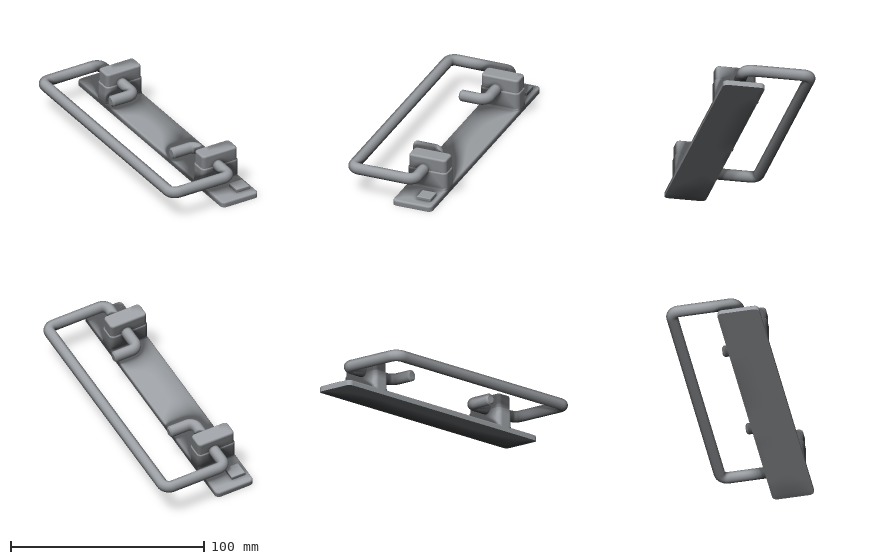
import cadquery as cq

plate_length = 146.0
plate_depth = 22.0
plate_thickness = 3.0
corner_radius = 2.5
plate_edge_radius = 1.0

post_spacing = 96.0
post_width = 10.2
post_height = 20.0
post_inset = 0.5
lower_stage_height = 12.8
stage_edge_radius = 1.0
root_radius = 1.0

rod_diameter = 6.0
rod_height = 12.8
rod_span = 130.8
rod_bend_radius = 4.1
rod_back_setback = 12.8
rod_front_reach = 51.0
rod_tip_spacing = 60.9
rod_tip_reach = 27.5
rod_tip_chamfer = 0.9

pad_size = 7.9
pad_top = 5.0
pad_spacing = 127.8
pad_setback = 6.4
pad_edge_radius = 0.5

rear_y = plate_depth / 2


def rounded_block(width, depth, height, upright_radius, top_radius):
    """Block standing on Z = 0 with rounded upright corners and a rounded top edge."""
    block = cq.Workplane("XY").rect(width, depth).extrude(height)
    block = block.edges("|Z").fillet(upright_radius)
    return block.faces(">Z").edges().fillet(top_radius)


def on_both_sides(shape, spacing):
    """Two copies of a shape, placed evenly about X = 0."""
    left = shape.translate((-spacing / 2, 0, 0))
    right = shape.translate((spacing / 2, 0, 0))
    return left.union(right)


def make_post():
    """Two-stage post whose foot flares into the plate and is trimmed to the plate depth."""
    lower = rounded_block(post_width, plate_depth, lower_stage_height, corner_radius, stage_edge_radius)

    footing = cq.Workplane("XY").rect(2 * post_width, 2 * plate_depth).extrude(plate_thickness)
    lower = lower.union(footing)
    root_edges = lower.faces("<Z[1]").edges("not(<X or >X or <Y or >Y)")
    lower = root_edges.fillet(root_radius)

    flare_width = post_width + 2 * root_radius
    outline = cq.Workplane("XY").rect(flare_width, plate_depth).extrude(post_height)
    outline = outline.edges("|Z").fillet(corner_radius + root_radius)
    lower = lower.intersect(outline)

    upper = rounded_block(
        post_width - 2 * post_inset,
        plate_depth - 2 * post_inset,
        post_height,
        corner_radius - post_inset,
        stage_edge_radius,
    )
    return lower.union(upper)


def make_rod():
    """Round rod: a front bar, two arms, and returns through the posts to short tips."""
    arm_x = rod_span / 2
    tip_x = rod_tip_spacing / 2
    front_y = rear_y - rod_front_reach + rod_diameter / 2
    back_y = rear_y - rod_back_setback
    tip_y = rear_y - rod_tip_reach

    left_corners = [(-tip_x, tip_y), (-tip_x, back_y), (-arm_x, back_y), (-arm_x, front_y)]
    right_corners = [(-x, y) for x, y in reversed(left_corners)]
    corners = [cq.Vector(x, y, rod_height) for x, y in left_corners + right_corners]
    sharp_path = cq.Wire.makePolygon(corners)
    path = sharp_path.fillet(rod_bend_radius, sharp_path.Vertices()[1:-1])

    section = cq.Workplane("XZ", origin=(-tip_x, tip_y, rod_height)).circle(rod_diameter / 2)
    rod = section.sweep(cq.Workplane(path))
    return rod.faces("%PLANE").edges().chamfer(rod_tip_chamfer)


def make_pad():
    """Square pad standing on the plate, with a softened top edge."""
    pad_y = rear_y - pad_setback
    pad = cq.Workplane("XY").center(0, pad_y).rect(pad_size, pad_size).extrude(pad_top)
    return pad.faces(">Z").edges().fillet(pad_edge_radius)


plate = rounded_block(plate_length, plate_depth, plate_thickness, corner_radius, plate_edge_radius)
posts = on_both_sides(make_post(), post_spacing)
pads = on_both_sides(make_pad(), pad_spacing)
result = plate.union(posts).union(pads).union(make_rod())